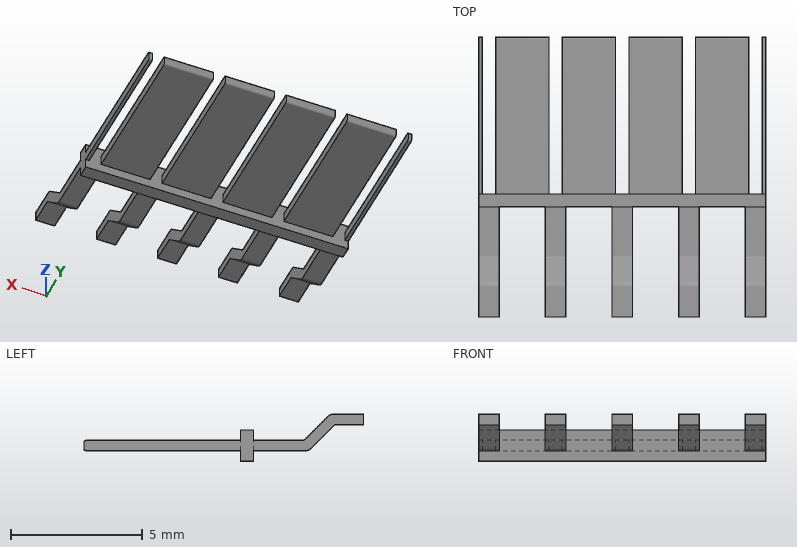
import cadquery as cq
import math

lead_count = 5
lead_pitch = 2.54
lead_width = 0.79
lead_thickness = 0.41
lead_reach = 4.2
bend_distance = 1.93
bend_angle = 45.0
foot_top = 1.2
inner_bend_radius = 0.1
outer_bend_radius = 0.3

bar_length = (lead_count - 1) * lead_pitch + lead_width
bar_depth = 0.5
bar_height = 1.2

pad_reach = 5.97
pad_gap = 0.5
pad_tip_radius = 0.1

lead_centers = [(i - (lead_count - 1) / 2) * lead_pitch for i in range(lead_count)]
bar_front = -bar_depth / 2
bar_back = bar_depth / 2


def make_bar():
    return cq.Workplane("XY").box(bar_length, bar_depth, bar_height)


def make_lead(x_center):
    """Z-bent lead that runs forward from the bar, up a ramp and out to a raised foot."""
    half_thickness = lead_thickness / 2
    tip_y = bar_front - lead_reach
    slope = math.tan(math.radians(bend_angle))
    corner_shift = lead_thickness * math.tan(math.radians(bend_angle / 2))

    lower_top_y = bar_front - bend_distance
    upper_top_y = lower_top_y - (foot_top - half_thickness) / slope
    lower_bottom_y = lower_top_y - corner_shift
    upper_bottom_y = upper_top_y - corner_shift
    foot_bottom = foot_top - lead_thickness

    lead = (
        cq.Workplane("YZ")
        .moveTo(0, half_thickness)
        .lineTo(lower_top_y, half_thickness)
        .lineTo(upper_top_y, foot_top)
        .lineTo(tip_y, foot_top)
        .lineTo(tip_y, foot_bottom)
        .lineTo(upper_bottom_y, foot_bottom)
        .lineTo(lower_bottom_y, -half_thickness)
        .lineTo(0, -half_thickness)
        .close()
        .extrude(lead_width / 2, both=True)
    )

    def bend_edge(y, z):
        return cq.selectors.NearestToPointSelector((0, y, z))

    lead = lead.edges(bend_edge(lower_top_y, half_thickness)).fillet(inner_bend_radius)
    lead = lead.edges(bend_edge(upper_bottom_y, foot_bottom)).fillet(inner_bend_radius)
    lead = lead.edges(bend_edge(upper_top_y, foot_top)).fillet(outer_bend_radius)
    lead = lead.edges(bend_edge(lower_bottom_y, -half_thickness)).fillet(outer_bend_radius)
    return lead.translate((x_center, 0, 0))


def make_pad(x_start, x_end):
    """Flat pad running back from the bar, with its tip edges rounded."""
    return (
        cq.Workplane("XY")
        .box(x_end - x_start, bar_back + pad_reach, lead_thickness, centered=(False, False, True))
        .faces(">Y")
        .edges("|X")
        .fillet(pad_tip_radius)
        .translate((x_start, 0, 0))
    )


def pad_spans():
    """X ranges left between the gaps, which sit behind the leads."""
    starts = [-bar_length / 2] + [x + pad_gap / 2 for x in lead_centers]
    ends = [x - pad_gap / 2 for x in lead_centers] + [bar_length / 2]
    return zip(starts, ends)


result = make_bar()
for x_center in lead_centers:
    result = result.union(make_lead(x_center))
for x_start, x_end in pad_spans():
    result = result.union(make_pad(x_start, x_end))